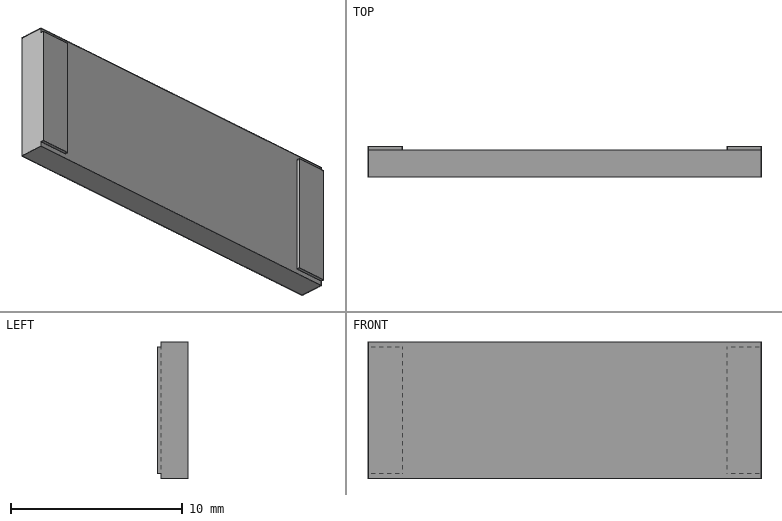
import cadquery as cq

plate_length = 23.0
plate_height = 8.0
overall_depth = 1.8

pad_thickness = 0.2
pad_length = 2.0
pad_edge_margin = 0.3
pad_height = plate_height - 2 * pad_edge_margin

plate_thickness = overall_depth - pad_thickness


def make_plate():
    """Plate centred on X and Z, with its -Y face on Y = 0."""
    return cq.Workplane("XY").box(
        plate_length, plate_thickness, plate_height, centered=(True, False, True)
    )


def make_end_pad(side):
    """Pad on the +Y face at the -X (side = -1) or +X (side = 1) end."""
    pad_center_x = side * (plate_length - pad_length) / 2
    return (
        cq.Workplane("XY")
        .box(pad_length, pad_thickness, pad_height, centered=(True, False, True))
        .translate((pad_center_x, plate_thickness, 0))
    )


result = make_plate()
for end_side in (-1, 1):
    result = result.union(make_end_pad(end_side))